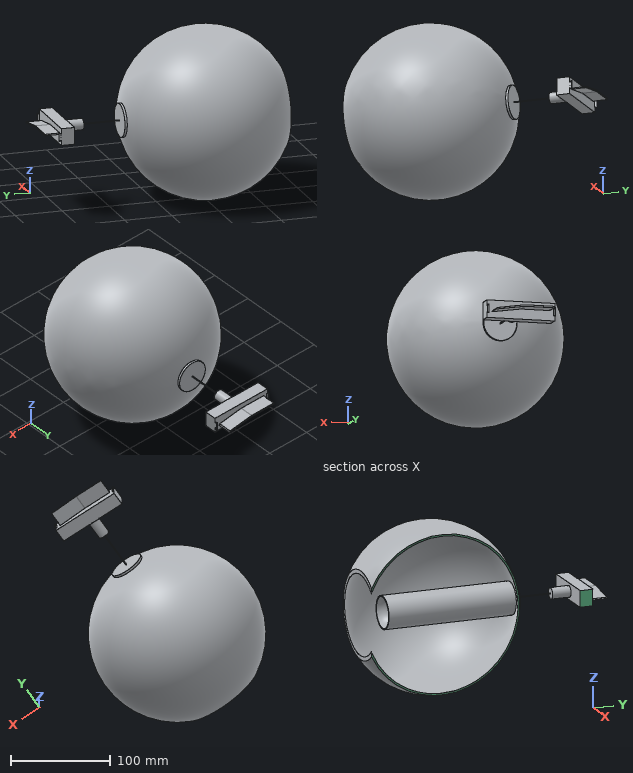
import cadquery as cq
import math

total_length = 256.8
globe_radius = 89.9

opening_rim_radius = 46.7
opening_radius = 85.0 / 2
front_y = -math.sqrt(globe_radius**2 - opening_rim_radius**2)
inner_radius = math.hypot(front_y, opening_radius)
back_y = front_y + total_length

tube_radius = 35.0 / 2
tube_front_y = -52.6
tube_back_y = globe_radius + 0.8
cup_radius = 16.5

cable_radius = 1.0 / 2
stem_radius = 12.0 / 2
stem_length = 20.0

body_width = 71.5
body_depth = 14.0
body_height = 18.0
blade_width = 60.5
blade_length = 15.7
blade_height = 6.0
blade_thickness = 1.5
blade_end_slant = 1.0
lug_thickness = 1.3
lug_length = 2.3
lug_root_height = 6.7
lug_tip_height = 9.0

body_back_y = back_y - blade_length
body_front_y = body_back_y - body_depth
stem_front_y = body_front_y - stem_length


def rod(radius, start_y, end_y):
    """Cylinder on the Y axis between two stations."""
    return cq.Workplane("XZ", origin=(0, start_y, 0)).circle(radius).extrude(start_y - end_y)


def make_globe():
    """Thin hollow globe, cut flat at the front to leave the opening."""
    wall = (
        cq.Workplane("XY")
        .moveTo(opening_radius, front_y)
        .lineTo(opening_rim_radius, front_y)
        .threePointArc((globe_radius, 0), (0, globe_radius))
        .lineTo(0, inner_radius)
        .threePointArc((inner_radius, 0), (opening_radius, front_y))
        .close()
    )
    return wall.revolve(360, (0, 0, 0), (0, 1, 0))


def make_lamp_tube():
    cup = cq.Workplane("XY").sphere(cup_radius).translate((0, tube_front_y, 0))
    return rod(tube_radius, tube_front_y, tube_back_y).cut(cup)


def make_suspension():
    cable = rod(cable_radius, tube_back_y, body_front_y)
    stem = rod(stem_radius, stem_front_y, body_front_y)
    return cable.union(stem)


def make_body():
    body_center_y = (body_front_y + body_back_y) / 2
    return cq.Workplane("XY").box(body_width, body_depth, body_height).translate((0, body_center_y, 0))


def make_blade():
    """Bent contact blade: level on the -X half, sloping down on the +X half."""
    half_width = blade_width / 2
    top_z = blade_height / 2
    outline = [
        (-half_width, top_z),
        (0, top_z),
        (half_width - blade_end_slant, -top_z + blade_thickness),
        (half_width, -top_z),
        (0, top_z - blade_thickness),
        (-half_width, top_z - blade_thickness),
    ]
    return cq.Workplane("XZ", origin=(0, back_y, 0)).polyline(outline).close().extrude(blade_length)


def make_lug(start_x):
    """Thin lug behind the body, widening toward its tip."""
    tip_y = body_back_y + lug_length
    outline = [
        (body_back_y, -lug_root_height / 2),
        (tip_y, -lug_tip_height / 2),
        (tip_y, lug_tip_height / 2),
        (body_back_y, lug_root_height / 2),
    ]
    return cq.Workplane("YZ", origin=(start_x, 0, 0)).polyline(outline).close().extrude(lug_thickness)


result = make_globe().union(make_lamp_tube()).union(make_suspension())
result = result.union(make_body()).union(make_blade())
for lug_start_x in (-body_width / 2, body_width / 2 - lug_thickness):
    result = result.union(make_lug(lug_start_x))